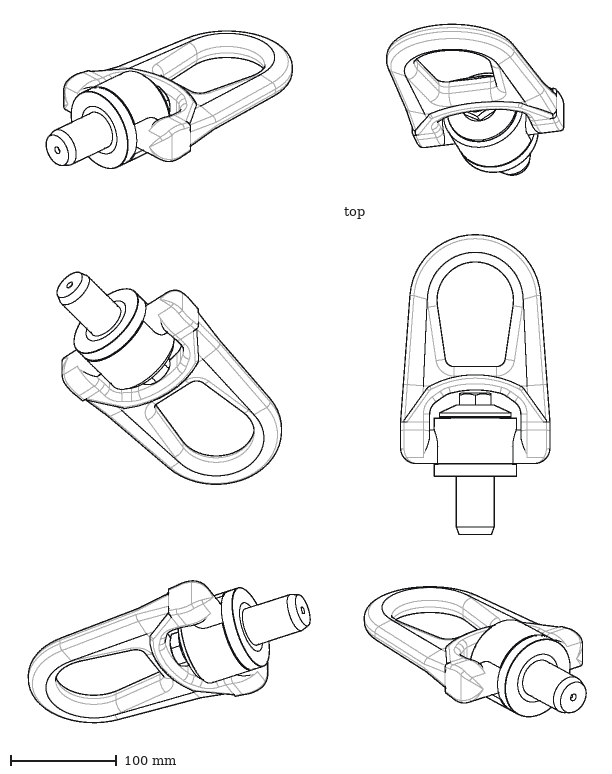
import cadquery as cq
import math


BODY_DIA = 78.0
HOUSING_TOP = 25.0
HOUSING_BOTTOM = -18.5
HOUSING_EDGE = 0.8
FLANGE_BOTTOM = -30.2
FLANGE_EDGE = 0.4
SLEEVE_DIA = 48.0
BORE_DIA = 36.2
SLOT_CLEARANCE = 0.2

SHANK_DIA = 36.0
TIP_DIA = 30.8
TIP_LENGTH = 7.5
TOTAL_LENGTH = 283.7
COLLAR_DIA = 68.0
COLLAR_GAP = 1.0
COLLAR_TOP = 30.0
COLLAR_EDGE = 0.6
NECK_DIA = 46.0
CONE_TOP = 37.6
CONE_TOP_DIA = 35.0
HEX_FLATS = 30.0
HEX_TOP = 48.9
HEX_CHAMFER = 2.0
HEX_CHAMFER_ANGLE = 30.0
CENTRE_DRILL_DIA = 3.15
CENTRE_SINK_DIA = 6.7
CENTRE_DRILL_DEPTH = 8.0
CENTRE_SINK_ANGLE = 60.0

LINK_HALF_WIDTH = 141.43 / 2
LINK_TOP = 198.5
CROWN_RADIUS = 62.0
CROWN_Y = LINK_TOP - CROWN_RADIUS
PLATE_HALF = 12.5
OPENING_RADIUS = 36.0
OPENING_TILT = 8.4
OPENING_BOTTOM = 73.8
OPENING_CORNER = 8.0
OPENING_ROUND = 9.0
PANEL_INSET = 16.7
PANEL_INSET_LOW = 19.2
RIM_WIDTH = 25.0
EDGE_INSET = 3.9
EDGE_Z = 7.6
SIDE_FLAT_HALF = 2.0
EDGE_RADIUS = 6.0
PANEL_END_Y = 57.0

YOKE_HALF = 16.0
YOKE_TOP = 66.0
YOKE_SHOULDER = (44.8, 54.3)
YOKE_SHOULDER_RADIUS = 8.0
YOKE_FOOT = (67.4, 22.8)
YOKE_OUTER_ROUND = 3.2
YOKE_INNER_ROUND = 6.0
ARCH_TOP = 51.6
ARCH_SHOULDER = (27.0, 47.4)
ARCH_CORNER_Y = 36.0
ARCH_CORNER_RADIUS = 14.0
ARCH_SHOULDER_RADIUS = 20.0
ARCH_HALF_WIDTH = 43.0
KNUCKLE_BOTTOM_Y = -18.0
KNUCKLE_HALF = 18.1
KNUCKLE_PEAK_Y = 5.0
KNUCKLE_SADDLE = (13.6, 17.0)
KNUCKLE_NOSE_HALF = 12.3
KNUCKLE_TOP_Y = 21.4
KNUCKLE_EDGE_Z = 12.0
KNUCKLE_SIDE_FLAT_HALF = 7.0
KNUCKLE_SHOULDER_Z = 14.0
KNUCKLE_CORNER = 15.0
KNUCKLE_INNER_ROUND = 6.0
KNUCKLE_OUTER_ROUND = 3.5
TRUNNION_DIA = 32.0
TRUNNION_END = 27.0
TRUNNION_Y = KNUCKLE_BOTTOM_Y + TRUNNION_DIA / 2

BOLT_END = LINK_TOP - TOTAL_LENGTH

LEG_HEIGHT = CROWN_Y - KNUCKLE_TOP_Y
LEG_TILT = math.degrees(
    math.acos(CROWN_RADIUS / math.hypot(LINK_HALF_WIDTH, LEG_HEIGHT))
    - math.atan2(LEG_HEIGHT, LINK_HALF_WIDTH)
)


def turned(points):
    """Revolve a closed (radius, y) outline about the bolt axis."""
    return cq.Workplane("XY").polyline(points).close().revolve(360, (0, 0, 0), (0, 1, 0))


def disc(diameter, y_low, y_high):
    return turned([(0, y_low), (diameter / 2, y_low), (diameter / 2, y_high), (0, y_high)])


def on_both_sides(body):
    return body.union(body.mirror("YZ"))


def make_housing():
    drum = disc(BODY_DIA, HOUSING_BOTTOM, HOUSING_TOP).faces("<Y").chamfer(HOUSING_EDGE)
    sleeve = disc(SLEEVE_DIA, FLANGE_BOTTOM, HOUSING_TOP)
    half_width = TRUNNION_DIA / 2 + SLOT_CLEARANCE
    slot = (
        cq.Workplane("YZ", origin=(TRUNNION_END, 0, 0))
        .moveTo(HOUSING_BOTTOM, -half_width)
        .lineTo(TRUNNION_Y, -half_width)
        .threePointArc((TRUNNION_Y + half_width, 0), (TRUNNION_Y, half_width))
        .lineTo(HOUSING_BOTTOM, half_width)
        .close()
        .extrude(BODY_DIA / 2)
    )
    bore = disc(BORE_DIA, FLANGE_BOTTOM, HOUSING_TOP)
    return drum.cut(on_both_sides(slot)).union(sleeve).cut(bore)


def make_flange():
    ring = disc(BODY_DIA, FLANGE_BOTTOM, HOUSING_BOTTOM).faces("<Y").chamfer(FLANGE_EDGE)
    return ring.cut(disc(SLEEVE_DIA, FLANGE_BOTTOM, HOUSING_BOTTOM))


def make_bolt():
    shank_radius = SHANK_DIA / 2
    collar_radius = COLLAR_DIA / 2
    collar_bottom = HOUSING_TOP + COLLAR_GAP
    turned_body = turned([
        (0, BOLT_END),
        (TIP_DIA / 2, BOLT_END),
        (shank_radius, BOLT_END + TIP_LENGTH),
        (shank_radius, HOUSING_TOP),
        (NECK_DIA / 2, HOUSING_TOP),
        (NECK_DIA / 2, collar_bottom),
        (collar_radius - COLLAR_EDGE, collar_bottom),
        (collar_radius, collar_bottom + COLLAR_EDGE),
        (collar_radius, COLLAR_TOP),
        (CONE_TOP_DIA / 2, CONE_TOP),
        (0, CONE_TOP),
    ])
    corner_radius = HEX_FLATS / 2 / math.cos(math.radians(30))
    head = (
        cq.Workplane("XZ", origin=(0, CONE_TOP, 0))
        .transformed(rotate=(0, 0, 90))
        .polygon(6, 2 * corner_radius)
        .extrude(CONE_TOP - HEX_TOP)
    )
    chamfer_drop = HEX_CHAMFER * math.tan(math.radians(HEX_CHAMFER_ANGLE)) * 2
    head_envelope = turned([
        (0, CONE_TOP),
        (corner_radius, CONE_TOP),
        (corner_radius, HEX_TOP - chamfer_drop),
        (corner_radius - 2 * HEX_CHAMFER, HEX_TOP),
        (0, HEX_TOP),
    ])
    drill_radius = CENTRE_DRILL_DIA / 2
    sink_radius = CENTRE_SINK_DIA / 2
    sink_depth = (sink_radius - drill_radius) / math.tan(math.radians(CENTRE_SINK_ANGLE / 2))
    centre_drilling = turned([
        (0, BOLT_END),
        (sink_radius, BOLT_END),
        (drill_radius, BOLT_END + sink_depth),
        (drill_radius, BOLT_END + CENTRE_DRILL_DEPTH),
        (0, BOLT_END + CENTRE_DRILL_DEPTH),
    ])
    return turned_body.union(head.intersect(head_envelope)).cut(centre_drilling)


def rim_section(plane, inner, inset, shoulder_z, edge_z, side_half):
    """Link rim outline; local x is 0 at the outer side, negative inwards, local y is Z."""
    return (
        cq.Workplane(plane)
        .moveTo(inner, -shoulder_z)
        .lineTo(-inset, -shoulder_z)
        .lineTo(-EDGE_INSET, -edge_z)
        .radiusArc((0, -side_half), -EDGE_RADIUS)
        .lineTo(0, side_half)
        .radiusArc((-EDGE_INSET, edge_z), -EDGE_RADIUS)
        .lineTo(-inset, shoulder_z)
        .lineTo(inner, shoulder_z)
        .close()
    )


def make_crown():
    plane = cq.Plane(origin=(CROWN_RADIUS, CROWN_Y, 0), xDir=(1, 0, 0), normal=(0, -1, 0))
    section = rim_section(plane, -CROWN_RADIUS, PANEL_INSET, PLATE_HALF, EDGE_Z, SIDE_FLAT_HALF)
    return section.revolve(360, (-CROWN_RADIUS, 0, 0), (-CROWN_RADIUS, 1, 0))


def leg_x(y):
    """Half width of the link at a height on its straight sloping side."""
    tilt = math.radians(LEG_TILT)
    return (CROWN_RADIUS - (y - CROWN_Y) * math.sin(tilt)) / math.cos(tilt)


def make_leg():
    tilt = math.radians(LEG_TILT)
    outward = (math.cos(tilt), math.sin(tilt), 0)
    down = (math.sin(tilt), -math.cos(tilt), 0)
    inner = -RIM_WIDTH
    start_y = CROWN_Y + CROWN_RADIUS * math.sin(tilt)
    stations = [
        (start_y, PANEL_INSET, PLATE_HALF, EDGE_Z, SIDE_FLAT_HALF),
        (PANEL_END_Y, PANEL_INSET_LOW, PLATE_HALF, EDGE_Z, SIDE_FLAT_HALF),
        (KNUCKLE_TOP_Y, PANEL_INSET_LOW, KNUCKLE_SHOULDER_Z, KNUCKLE_EDGE_Z, KNUCKLE_SIDE_FLAT_HALF),
    ]
    wires = []
    for y, inset, shoulder_z, edge_z, side_half in stations:
        plane = cq.Plane(origin=(leg_x(y), y, 0), xDir=outward, normal=down)
        wires.append(rim_section(plane, inner, inset, shoulder_z, edge_z, side_half).wire().val())
    upper = cq.Workplane(cq.Solid.makeLoft(wires[:2], True))
    lower = cq.Workplane(cq.Solid.makeLoft(wires[1:], True))
    return upper.union(lower)


def make_load_opening():
    tilt = math.radians(OPENING_TILT)
    side_x = OPENING_RADIUS * math.cos(tilt)
    side_y = CROWN_Y - OPENING_RADIUS * math.sin(tilt)
    bottom_x = side_x - (side_y - OPENING_BOTTOM) * math.tan(tilt)
    return (
        cq.Workplane("XY", origin=(0, 0, -PLATE_HALF))
        .moveTo(-bottom_x, OPENING_BOTTOM)
        .lineTo(bottom_x, OPENING_BOTTOM)
        .lineTo(side_x, side_y)
        .threePointArc((0, CROWN_Y + OPENING_RADIUS), (-side_x, side_y))
        .close()
        .extrude(2 * PLATE_HALF)
        .edges("|Z and <Y")
        .fillet(OPENING_CORNER)
    )


def upright_edges(x, y):
    """Selector for the pair of edges parallel to Z at (-x, y) and (x, y)."""
    margin = 0.5
    reach = 2 * KNUCKLE_HALF
    right = cq.selectors.BoxSelector((x - margin, y - margin, -reach), (x + margin, y + margin, reach))
    left = cq.selectors.BoxSelector((-x - margin, y - margin, -reach), (-x + margin, y + margin, reach))
    return right + left


def make_arch_opening(height):
    """Space inside the yoke, between the knuckles and under the arch."""
    shoulder_x, shoulder_y = ARCH_SHOULDER
    bottom = -2 * KNUCKLE_HALF
    opening = (
        cq.Workplane("XY", origin=(0, 0, -height / 2))
        .moveTo(-ARCH_HALF_WIDTH, bottom)
        .lineTo(-ARCH_HALF_WIDTH, ARCH_CORNER_Y)
        .lineTo(-shoulder_x, shoulder_y)
        .threePointArc((0, ARCH_TOP), (shoulder_x, shoulder_y))
        .lineTo(ARCH_HALF_WIDTH, ARCH_CORNER_Y)
        .lineTo(ARCH_HALF_WIDTH, bottom)
        .close()
        .extrude(height)
    )
    opening = opening.edges(upright_edges(ARCH_HALF_WIDTH, ARCH_CORNER_Y)).fillet(ARCH_CORNER_RADIUS)
    return opening.edges(upright_edges(shoulder_x, shoulder_y)).fillet(ARCH_SHOULDER_RADIUS)


def make_rim():
    shoulder_x = leg_x(CROWN_Y) - PANEL_INSET
    web_bottom = YOKE_SHOULDER[1]
    lower_x = leg_x(web_bottom) - PANEL_INSET_LOW
    web = (
        cq.Workplane("XY", origin=(0, 0, -PLATE_HALF))
        .polyline([
            (-shoulder_x, CROWN_Y),
            (shoulder_x, CROWN_Y),
            (lower_x, web_bottom),
            (-lower_x, web_bottom),
        ])
        .close()
        .extrude(2 * PLATE_HALF)
    )
    rim = make_crown().union(on_both_sides(make_leg())).union(web).cut(make_load_opening())
    span = cq.selectors.BoxSelector(
        (-OPENING_RADIUS - 1, OPENING_BOTTOM - 1, -PLATE_HALF - 1),
        (OPENING_RADIUS + 1, CROWN_Y + OPENING_RADIUS + 1, PLATE_HALF + 1),
        boundingbox=True,
    )
    return rim.faces("|Z").edges(span).fillet(OPENING_ROUND)


def make_yoke():
    shoulder_x, shoulder_y = YOKE_SHOULDER
    foot_x, foot_y = YOKE_FOOT
    base_x = foot_x + foot_y * (foot_x - shoulder_x) / (shoulder_y - foot_y)
    yoke = (
        cq.Workplane("XY", origin=(0, 0, -YOKE_HALF))
        .moveTo(-base_x, 0)
        .lineTo(-shoulder_x, shoulder_y)
        .threePointArc((0, YOKE_TOP), (shoulder_x, shoulder_y))
        .lineTo(base_x, 0)
        .close()
        .extrude(2 * YOKE_HALF)
        .edges(upright_edges(shoulder_x, shoulder_y))
        .fillet(YOKE_SHOULDER_RADIUS)
        .faces("|Z")
        .edges("not <Y")
        .fillet(YOKE_OUTER_ROUND)
    )
    between_feet = cq.Workplane("XY").box(2 * foot_x, 3 * YOKE_TOP, 3 * YOKE_HALF)
    yoke = yoke.intersect(between_feet).cut(make_arch_opening(2 * YOKE_HALF))
    arch_rim = cq.selectors.BoxSelector(
        (-ARCH_HALF_WIDTH - 1, -1, -2 * YOKE_HALF),
        (ARCH_HALF_WIDTH + 1, ARCH_TOP + 1, 2 * YOKE_HALF),
        boundingbox=True,
    )
    return yoke.faces("|Z").edges(arch_rim).fillet(YOKE_INNER_ROUND)


def make_knuckle():
    width = LINK_HALF_WIDTH - ARCH_HALF_WIDTH
    saddle_y, saddle_z = KNUCKLE_SADDLE
    nose_z = KNUCKLE_NOSE_HALF
    nose_y = TRUNNION_Y - math.sqrt((TRUNNION_DIA / 2) ** 2 - nose_z**2)
    block = (
        cq.Workplane("YZ", origin=(ARCH_HALF_WIDTH, 0, 0))
        .moveTo(KNUCKLE_TOP_Y, -YOKE_HALF)
        .lineTo(KNUCKLE_TOP_Y, YOKE_HALF)
        .lineTo(saddle_y, saddle_z)
        .threePointArc((KNUCKLE_PEAK_Y, KNUCKLE_HALF), (nose_y, nose_z))
        .threePointArc((KNUCKLE_BOTTOM_Y, 0), (nose_y, -nose_z))
        .threePointArc((KNUCKLE_PEAK_Y, -KNUCKLE_HALF), (saddle_y, -saddle_z))
        .close()
        .extrude(width)
    )
    plan = (
        cq.Workplane("XY", origin=(0, 0, -2 * KNUCKLE_HALF))
        .moveTo(ARCH_HALF_WIDTH, KNUCKLE_BOTTOM_Y)
        .line(width - KNUCKLE_CORNER, 0)
        .radiusArc((LINK_HALF_WIDTH, KNUCKLE_BOTTOM_Y + KNUCKLE_CORNER), -KNUCKLE_CORNER)
        .lineTo(LINK_HALF_WIDTH, KNUCKLE_TOP_Y)
        .lineTo(ARCH_HALF_WIDTH, KNUCKLE_TOP_Y)
        .close()
        .extrude(4 * KNUCKLE_HALF)
    )
    knuckle = block.intersect(plan)
    knuckle = knuckle.faces(">X").edges("not |Z").fillet(KNUCKLE_OUTER_ROUND)
    return knuckle.faces("<X").edges("not |Z").fillet(KNUCKLE_INNER_ROUND)


def make_link():
    link = make_rim().union(make_yoke()).union(on_both_sides(make_knuckle()))
    trunnion = (
        cq.Workplane("YZ", origin=(TRUNNION_END, TRUNNION_Y, 0))
        .circle(TRUNNION_DIA / 2)
        .extrude(ARCH_HALF_WIDTH + KNUCKLE_INNER_ROUND - TRUNNION_END)
    )
    return link.union(on_both_sides(trunnion))


housing = make_housing()
flange = make_flange()
bolt = make_bolt()
link = make_link()

result = cq.Compound.makeCompound([housing.val(), flange.val(), bolt.val(), link.val()])